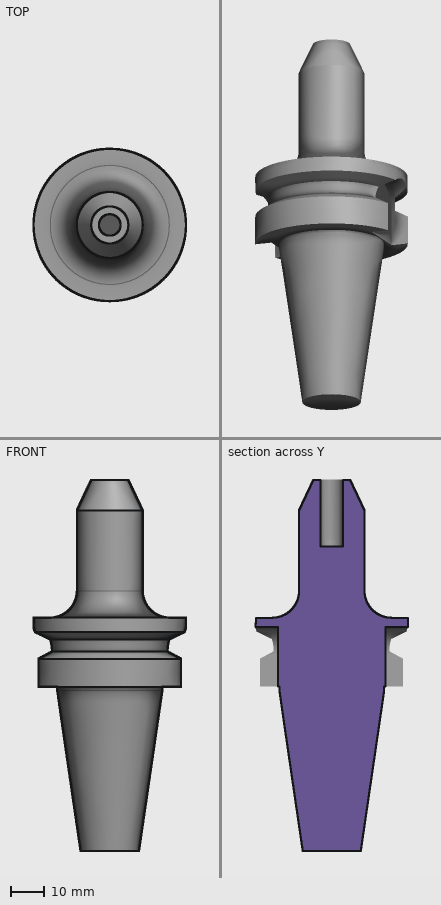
import cadquery as cq
import math


gauge_radius = 31.75 / 2
taper_length = 48.4
taper_ratio = 7 / 24
taper_end_radius = gauge_radius - taper_length * taper_ratio / 2

flange_radius = 23.0
flange_bottom = 1.1
flange_top = 22.0
groove_center = 13.6
groove_depth = 3.85
groove_floor_width = 3.65
groove_flank_angle = 30.0
groove_radius = flange_radius - groove_depth
groove_flank_height = groove_depth * math.tan(math.radians(groove_flank_angle))
groove_floor_bottom = groove_center - groove_floor_width / 2
groove_floor_top = groove_center + groove_floor_width / 2

slot_width = 16.1
slot_top = 19.0
slot_floor_distance = 16.3
slot_arc_center = slot_top - slot_width / 2
slot_cut_depth = flange_radius - slot_floor_distance

nose_radius = 9.95
nose_fillet = 8.0
total_length = 111.9
nose_tip = total_length - taper_length
nose_cone_height = 9.2
nose_tip_radius = 5.6

bore_diameter = 6.5
bore_depth = 20.0


def make_body():
    """Revolve the half profile of shank, flange and nose about Z."""
    fillet_end_radius = nose_radius + nose_fillet
    fillet_top = flange_top + nose_fillet
    fillet_mid_offset = nose_fillet * math.sqrt(0.5)
    fillet_mid = (fillet_end_radius - fillet_mid_offset, fillet_top - fillet_mid_offset)
    return (
        cq.Workplane("XZ")
        .moveTo(0, -taper_length)
        .lineTo(taper_end_radius, -taper_length)
        .lineTo(gauge_radius, 0)
        .lineTo(gauge_radius, flange_bottom)
        .lineTo(flange_radius, flange_bottom)
        .lineTo(flange_radius, groove_floor_bottom - groove_flank_height)
        .lineTo(groove_radius, groove_floor_bottom)
        .lineTo(groove_radius, groove_floor_top)
        .lineTo(flange_radius, groove_floor_top + groove_flank_height)
        .lineTo(flange_radius, flange_top)
        .lineTo(fillet_end_radius, flange_top)
        .threePointArc(fillet_mid, (nose_radius, fillet_top))
        .lineTo(nose_radius, nose_tip - nose_cone_height)
        .lineTo(nose_tip_radius, nose_tip)
        .lineTo(0, nose_tip)
        .close()
        .revolve(360, (0, 0, 0), (0, 1, 0))
    )


def make_drive_slot(side):
    """Round-topped slot, open at the flange bottom; side is -1 or +1 along X."""
    half_width = slot_width / 2
    return (
        cq.Workplane("YZ", origin=(side * slot_floor_distance, 0, 0))
        .moveTo(-half_width, flange_bottom)
        .lineTo(half_width, flange_bottom)
        .lineTo(half_width, slot_arc_center)
        .threePointArc((0, slot_top), (-half_width, slot_arc_center))
        .close()
        .extrude(side * slot_cut_depth)
    )


def make_bore():
    """Blind flat-bottomed bore from the nose tip."""
    bore_floor = nose_tip - bore_depth
    return (
        cq.Workplane("XY", origin=(0, 0, bore_floor))
        .circle(bore_diameter / 2)
        .extrude(bore_depth)
    )


result = make_body().cut(make_bore())
for side in (-1, 1):
    result = result.cut(make_drive_slot(side))